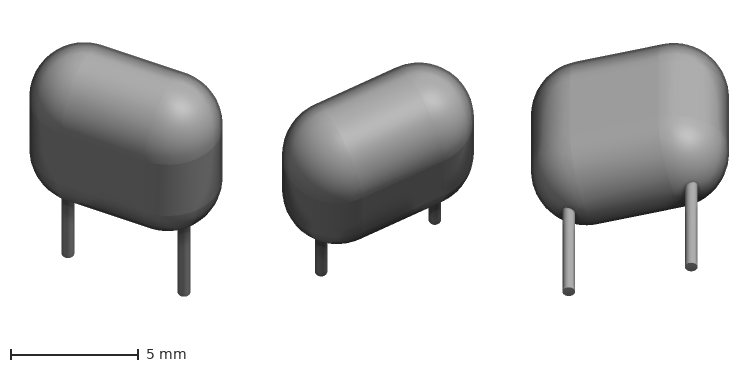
import cadquery as cq

housing_width = 7.9
housing_depth = 4.3
housing_height = 7.2
round_radius = housing_depth / 2
middle_width = housing_width - housing_depth
straight_height = housing_height - housing_depth

total_height = 11.3
lead_diameter = 0.5
lead_spacing = 5.0
lead_bottom = housing_height - total_height


def make_middle():
    """Straight part: an upright slot outline extruded along X."""
    return (
        cq.Workplane("YZ", origin=(0, 0, housing_height / 2))
        .slot2D(housing_height, housing_depth, 90)
        .extrude(middle_width / 2, both=True)
    )


def make_end(side):
    """Half capsule closing the housing on one side: -1 for -X, 1 for +X."""
    upper_center = round_radius + straight_height
    arc_offset = round_radius * 0.5 ** 0.5
    profile = (
        cq.Workplane("XZ")
        .lineTo(0, housing_height)
        .threePointArc((arc_offset, upper_center + arc_offset), (round_radius, upper_center))
        .lineTo(round_radius, round_radius)
        .threePointArc((arc_offset, round_radius - arc_offset), (0, 0))
        .close()
    )
    capsule_half = profile.revolve(180, (0, 0), (0, 1))
    turn = -90 * side
    return capsule_half.rotate((0, 0, 0), (0, 0, 1), turn).translate((side * middle_width / 2, 0, 0))


def make_housing():
    return make_middle().union(make_end(-1)).union(make_end(1)).solids()


def make_lead(side, housing):
    """Round wire whose top is shaped to meet the underside of the housing."""
    wire = (
        cq.Workplane("XY", origin=(side * lead_spacing / 2, 0, lead_bottom))
        .circle(lead_diameter / 2)
        .extrude(round_radius - lead_bottom)
    )
    return wire.cut(housing).solids()


housing = make_housing()
leads = [make_lead(side, housing) for side in (-1, 1)]

result = cq.Compound.makeCompound([housing.val(), *[lead.val() for lead in leads]])